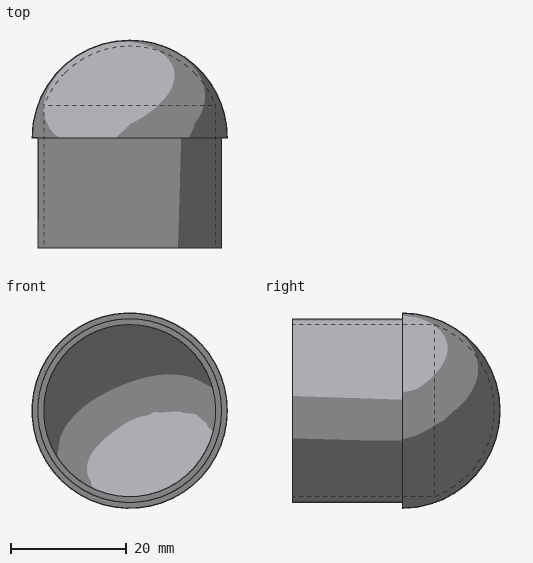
import cadquery as cq
import math

overall_length = 35.85
dome_diameter = 33.7
tube_diameter = 31.7
bore_diameter = 29.7

dome_radius = dome_diameter / 2
tube_radius = tube_diameter / 2
bore_radius = bore_diameter / 2
tube_length = overall_length - dome_radius

cavity_radius = tube_radius
bore_end_angle = math.acos(bore_radius / cavity_radius)


def point_on_arc(radius, angle):
    """Point at an angle above the X axis, about the dome centre."""
    return (radius * math.cos(angle), radius * math.sin(angle))


def middle_of_arc(start_angle):
    """Angle halfway from the start angle to the dome axis."""
    return (start_angle + math.pi / 2) / 2


wall_section = (
    cq.Workplane("XY")
    .moveTo(0, dome_radius)
    .threePointArc(point_on_arc(dome_radius, middle_of_arc(0)), (dome_radius, 0))
    .lineTo(tube_radius, 0)
    .lineTo(tube_radius, -tube_length)
    .lineTo(bore_radius, -tube_length)
    .lineTo(*point_on_arc(cavity_radius, bore_end_angle))
    .threePointArc(point_on_arc(cavity_radius, middle_of_arc(bore_end_angle)), (0, cavity_radius))
    .close()
)

result = wall_section.revolve(360, (0, 0, 0), (0, 1, 0))